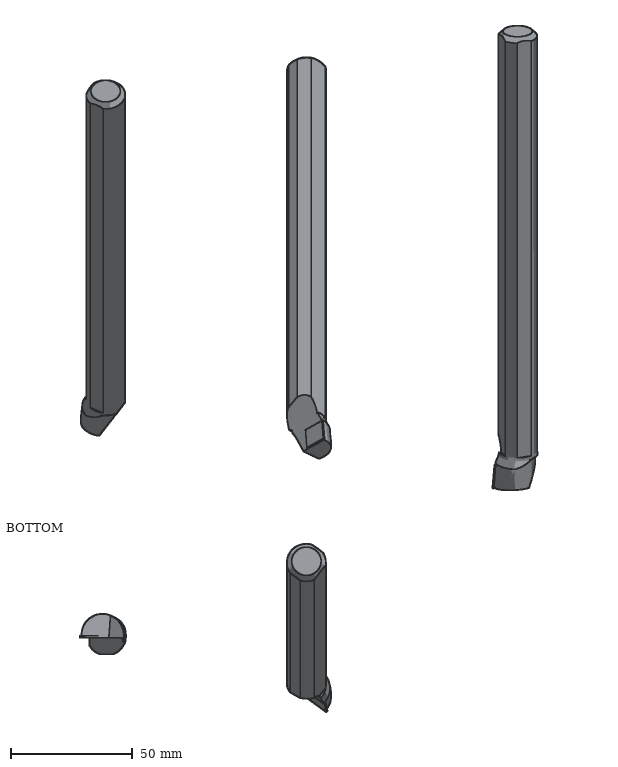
import cadquery as cq
import math

TOTAL_LENGTH = 201.2
SHANK_RADIUS = 8.0
SIDE_FLAT = 7.0
FRONT_FLAT = 7.5
BACK_FLAT = 7.6
SHANK_CHAMFER = 2.0

COLLAR_TOP = 15.3
FLARE_TOP = 13.9
FLARE_TOP_RADIUS = 8.3

HEAD_TOP = 10.9
HEAD_TOP_RADIUS = 9.7
HEAD_END_RADIUS = 10.5
BELLY_RADIUS = 8.7
BELLY_CENTER = (-1.6, -0.5)

BAR_END = 0.2
END_RELIEF = 0.16
BACK_TOP = (8.0, 15.3)
BACK_BOTTOM = (1.5, 1.0)

POCKET_FLOOR = 0.8
RAMP_START = 13.0
RAMP_MIDDLE = (4.0, 19.1)
RAMP_END = (9.0, 22.1)
RAMP_TILT = 0.45

INSERT_THICKNESS = 0.8
INSERT_TIP = -10.9
INSERT_EDGE = 9.9
INSERT_ANGLE = 80.0
INSERT_LEAD = 5.0

BIG = 60.4


def half_space(point, normal):
    """Block filling the side of a plane toward which its normal points."""
    return cq.Workplane(cq.Plane(origin=point, normal=normal)).rect(BIG, BIG).extrude(BIG)


def make_shank():
    rod = cq.Workplane("XY").circle(SHANK_RADIUS).extrude(TOTAL_LENGTH)
    rod = rod.faces(">Z").chamfer(SHANK_CHAMFER)
    left, right = -SIDE_FLAT, 2 * SHANK_RADIUS
    envelope = (
        cq.Workplane("XY").workplane(offset=COLLAR_TOP)
        .polyline([(left, -FRONT_FLAT), (right, -FRONT_FLAT), (right, BACK_FLAT), (left, BACK_FLAT)])
        .close().extrude(TOTAL_LENGTH)
    )
    return rod.intersect(envelope)


def make_head():
    """Tapered collar, flare and slow cone around the bar axis, trimmed by the belly cylinder."""
    cone = (
        cq.Workplane("XZ")
        .polyline([
            (0, 0),
            (HEAD_END_RADIUS, 0),
            (HEAD_TOP_RADIUS, HEAD_TOP),
            (FLARE_TOP_RADIUS, FLARE_TOP),
            (SHANK_RADIUS, COLLAR_TOP),
            (0, COLLAR_TOP),
        ])
        .close().revolve(360, (0, 0), (0, 1))
    )
    belly = cq.Workplane("XY").center(*BELLY_CENTER).circle(BELLY_RADIUS).extrude(FLARE_TOP)
    collar_zone = (
        cq.Workplane("XY").workplane(offset=FLARE_TOP)
        .circle(BIG).extrude(COLLAR_TOP - FLARE_TOP)
    )
    return cone.intersect(belly).union(cone.intersect(collar_zone))


def make_chip_pocket():
    """Flat floor and curved ramp, swept along a line descending toward +X."""
    shrink = 1 / math.hypot(1, RAMP_TILT)
    plane = cq.Plane(origin=(0, 0, 0), xDir=(0, 1, 0), normal=(1, 0, -RAMP_TILT))
    return (
        cq.Workplane(plane)
        .moveTo(POCKET_FLOOR, -BIG)
        .lineTo(POCKET_FLOOR, RAMP_START * shrink)
        .threePointArc(
            (RAMP_MIDDLE[0], RAMP_MIDDLE[1] * shrink),
            (RAMP_END[0], RAMP_END[1] * shrink),
        )
        .lineTo(RAMP_END[0], -BIG)
        .close().extrude(BIG, both=True)
    )


def make_insert():
    """Rhombic plate with its corner at the lower left."""
    lead = math.radians(INSERT_LEAD)
    base = math.radians(90 - INSERT_LEAD - INSERT_ANGLE)
    up = (INSERT_EDGE * math.sin(lead), INSERT_EDGE * math.cos(lead))
    along = (INSERT_EDGE * math.cos(base), INSERT_EDGE * math.sin(base))
    corners = [(0, 0), along, (along[0] + up[0], along[1] + up[1]), up]
    plane = cq.Plane(origin=(INSERT_TIP, POCKET_FLOOR, 0), xDir=(1, 0, 0), normal=(0, -1, 0))
    return cq.Workplane(plane).polyline(corners).close().extrude(INSERT_THICKNESS)


def make_bar(insert):
    back_run = BACK_TOP[0] - BACK_BOTTOM[0]
    back_rise = BACK_TOP[1] - BACK_BOTTOM[1]
    back_relief = half_space((BACK_TOP[0], 0, BACK_TOP[1]), (back_rise, 0, -back_run))
    end_face = half_space((0, 0, BAR_END), (0, -END_RELIEF, -1))
    bar = make_shank().union(make_head())
    return bar.cut(back_relief).cut(end_face).cut(make_chip_pocket()).cut(insert)


insert = make_insert()
bar = make_bar(insert)
result = cq.Compound.makeCompound([bar.val(), insert.val()])